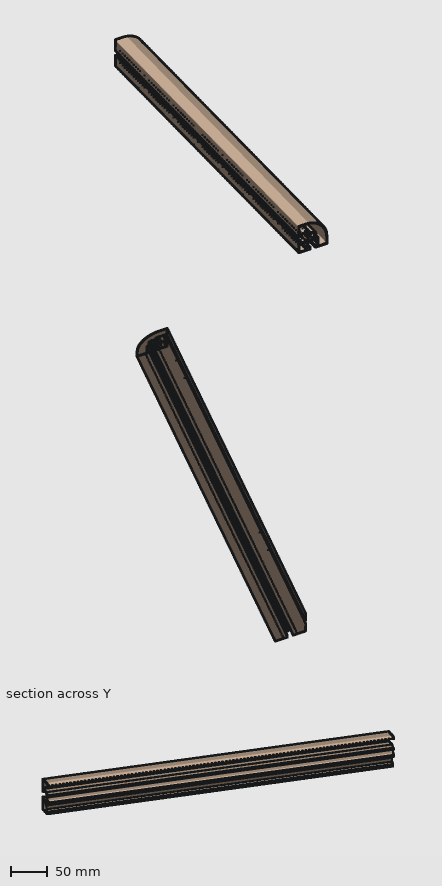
import cadquery as cq

length = 500.0
side = 45.0
wall = 1.5
round_radius = 32.5
corner_radius = 1.5
cavity_corner_radius = 1.0

slot_centre = side / 2
opening_half = 4.0
slot_half = 7.0
slot_depth = slot_centre - slot_half
slot_chamfer = 3.0
lip_end_thickness = 3.5
lip_root_thickness = 6.0
root_gusset = 1.5
groove_half = 0.75
groove_depth = 0.5

hub_backing = 3.5
hub_gusset = 3.0
bore_diameter = 7.5
tube_diameter = bore_diameter + 2 * wall


def extrude(sketch):
    return sketch.extrude(length)


def section():
    return cq.Workplane("YZ", origin=(-length / 2, 0, 0))


def quarter_round(inset, radius):
    """Square prism inset from the outside, with its +Y +Z edge rounded."""
    size = side - 2 * inset
    block = extrude(section().center(side / 2, side / 2).rect(size, size))
    return block.edges("|X and >Y and >Z").fillet(radius)


def round_square_corners(block, radius):
    """Round the three long edges that lie on the -Y and -Z faces."""
    return block.edges("|X and (<Y or <Z)").fillet(radius)


def both_slots(half_outline):
    """Mirror (half width, depth) points about a slot centre and build them on both faces."""
    right = [(slot_centre + half, depth) for half, depth in half_outline]
    left = [(slot_centre - half, depth) for half, depth in reversed(half_outline) if half > 0]
    outline = right + left
    swapped = [(depth, across) for across, depth in outline]
    on_bottom = extrude(section().polyline(outline).close())
    on_front = extrude(section().polyline(swapped).close())
    return on_bottom.union(on_front)


def outer_shell():
    outside = quarter_round(0, round_radius)
    outside = round_square_corners(outside, corner_radius)
    inside = quarter_round(wall, round_radius - wall)
    return outside.cut(round_square_corners(inside, cavity_corner_radius))


def slot_housings():
    """Walls around both slots, rooted in the shell just behind its outside face."""
    half = slot_half + wall
    return both_slots([
        (half + root_gusset, wall / 2),
        (half + root_gusset, wall),
        (half, wall + root_gusset),
        (half, slot_depth),
        (half - hub_backing, slot_depth + hub_backing),
    ])


def slot_cavities():
    return both_slots([
        (opening_half, 0),
        (opening_half, lip_end_thickness),
        (slot_half, lip_root_thickness),
        (slot_half, slot_depth - slot_chamfer),
        (slot_half - slot_chamfer, slot_depth),
        (groove_half, slot_depth),
        (0, slot_depth + groove_depth),
    ])


def hub():
    near = slot_depth - wall
    outline = [
        (near - hub_gusset, near),
        (near, near - hub_gusset),
        (slot_centre, near),
        (slot_centre, slot_centre),
        (near, slot_centre),
    ]
    return extrude(section().polyline(outline).close())


def central_cylinder(diameter):
    return extrude(section().center(slot_centre, slot_centre).circle(diameter / 2))


profile = outer_shell().union(slot_housings()).union(hub())
profile = profile.union(central_cylinder(tube_diameter))
profile = profile.cut(slot_cavities()).cut(central_cylinder(bore_diameter))
result = profile.translate((0, -side / 2, -side / 2))